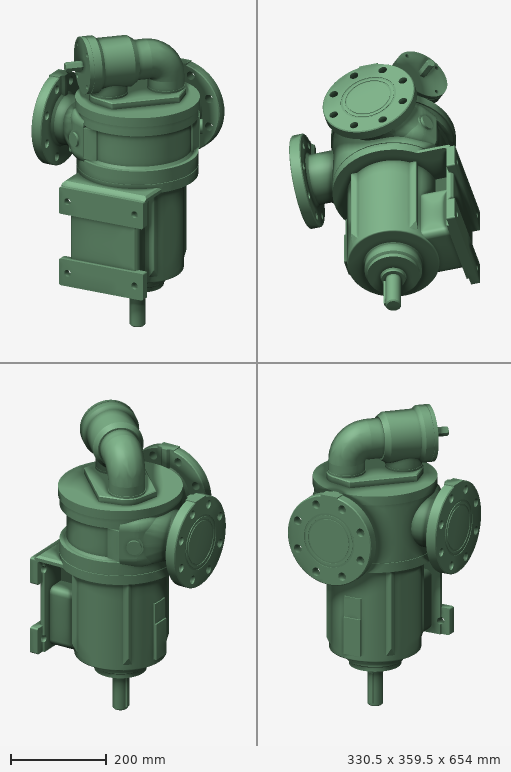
import cadquery as cq
import math


overlap = 6.5
overall_height = 654.0

valve_z = 163.5
cap_radius = 61.0
shaft_end_z = valve_z + cap_radius - overall_height
shaft_radius = 16.5
shaft_chamfer = 2.5
key_width = 10.0
key_reach = 19.5
key_top_z = -354.5
key_bottom_z = -422.0

cover_radius = 131.0
cover_top_z = 82.0
cover_bottom_z = 62.0
rim_radius = 127.5
upper_rim_bottom_z = 40.0
lower_rim_top_z = -38.5
waist_radius = 113.0
waist_fillet = 5.0
rim_joint_z = -67.5
joint_groove_depth = 2.0
joint_groove_width = 2.0
rim_bottom_z = -89.5
barrel_radius = 97.0
barrel_bottom_z = -302.0
barrel_bottom_fillet = 3.0
hub_radius = 60.0
hub_bottom_z = -325.0
hub_fillet = 2.5
hub_chamfer = 3.0
hub_neck_radius = 55.0
hub_neck_bottom_z = -337.5
seal_neck_radius = 22.0
seal_flange_radius = 27.5
seal_flange_top_z = -340.0
seal_bottom_z = -350.0
seal_bevel = 2.5

rib_corner_x = 78.5
rib_corner_y = 71.0
rib_corner_fillet = 2.5
rib_bottom_z = -288.0
rib_runout = 19.5
pad_half_width = 19.5
pad_lower_y = 102.0
pad_upper_y = 99.0
pad_top_z = -160.0
pad_step_z = -206.0
pad_bottom_z = -288.0

port_face = 199.5
flange_diameter = 199.5
flange_radius = flange_diameter / 2
flange_thickness = 24.0
flange_chamfer = 2.0
bolt_circle_radius = 81.0
bolt_hole_radius = 9.0
bolt_count = 8
face_grooves = ((60.0, 55.5), (50.5, 47.0))
face_groove_depth = 1.0
neck_radius = 53.5
neck_fillet = 5.0
bar_reach = 6.0
bar_front_width = 40.5
bar_root_width = 22.0
bar_tip_width = 12.0
chamber_radius = 59.0
chamber_fillet = 27.5
first_bend_x = -129.0
second_bend_x = -68.0
second_bend_y = -45.0
second_bend_z = 4.0
chamber_end_x = -69.0
frame_end_x = -38.0
frame_face_y = -110.0
frame_half_height = 34.0
plug_x = -99.0
plug_y = -101.5
plug_angle = 61.5
plug_radius = 16.0
plug_collar_radius = 20.0
plug_reach = 5.0
plug_depth = 26.0

valve_diagonal = 45
valve_face = 121.0
cap_plate_end = 112.5
cap_end = 94.0
cap_groove_depth = 1.0
cap_groove_width = 1.0
valve_body_start = 86.5
valve_body_radius = 54.0
valve_taper_start = 20.0
valve_body_end = 8.5
valve_nose_radius = 46.5
pipe_radius = 42.5
riser_radius = 38.5
riser_bead = 1.0
riser_bead_height = 4.5
riser_offset = 62.0
bend_radius = 42.5
spindle_flats = 17.5
spindle_length = 37.0
spindle_chamfer = 2.0
cap_hole_pitch = 71.0
cap_hole_radius = 4.9
cap_hole_depth = 8.0
plate_top_z = 96.0
plate_half_width = 62.0
plate_corner = 73.0
plate_tip = 104.0
plate_tip_start = 97.0
plate_tip_half_width = 23.5
plate_edge = 2.0

foot_face_y = -160.0
foot_thickness = 18.0
foot_half_width = 100.0
foot_height = 59.5
foot_corner = 4.0
foot_hole_pitch = 159.5
foot_hole_diameter = 15.0
upper_foot_z = -116.0
backplate_half_width = 80.0
backplate_front_y = -151.0
backplate_back_y = -137.5
backplate_top_z = -88.0
backplate_edge = 5.0
shelf_top_z = -78.0
shelf_slope_y = -140.5
shelf_edge = 4.5
box_half_width = 59.5
box_top_z = -165.0
box_bottom_z = -298.5
box_fillet = 14.5
web_half_width = 16.5


def block(x_range, y_range, z_range):
    """Axis-aligned box from its three (low, high) ranges."""
    low = (x_range[0], y_range[0], z_range[0])
    size = (x_range[1] - x_range[0], y_range[1] - y_range[0], z_range[1] - z_range[0])
    return cq.Workplane("XY").box(*size, centered=False).translate(low)


def turned(profile):
    """Solid of revolution about Z from (radius, z) points, closed along the axis."""
    closed = [(0, profile[0][1])] + profile + [(0, profile[-1][1])]
    return cq.Workplane("XZ").polyline(closed).close().revolve(360, (0, 0), (0, 1))


def turned_along_x(profile):
    """Solid of revolution about X from (x, radius) points, closed along the axis."""
    closed = [(profile[0][0], 0)] + profile + [(profile[-1][0], 0)]
    return cq.Workplane("XY").polyline(closed).close().revolve(360, (0, 0), (1, 0))


def pump_housing():
    """Turned rims, waist and barrel; the quadrant between the ports is filled out to the rims."""
    rims = turned([
        (cover_radius, cover_top_z),
        (cover_radius, cover_bottom_z),
        (rim_radius, cover_bottom_z),
        (rim_radius, upper_rim_bottom_z),
        (waist_radius + waist_fillet, upper_rim_bottom_z),
        (waist_radius, upper_rim_bottom_z - waist_fillet),
        (waist_radius, lower_rim_top_z + waist_fillet),
        (waist_radius + waist_fillet, lower_rim_top_z),
        (rim_radius, lower_rim_top_z),
        (rim_radius, rim_joint_z),
        (rim_radius - joint_groove_depth, rim_joint_z),
        (rim_radius - joint_groove_depth, rim_joint_z - joint_groove_width),
        (rim_radius, rim_joint_z - joint_groove_width),
        (rim_radius, rim_bottom_z),
    ])
    barrel = (
        cq.Workplane("XY", origin=(0, 0, barrel_bottom_z))
        .circle(barrel_radius)
        .extrude(-barrel_bottom_z)
        .faces("<Z").edges().fillet(barrel_bottom_fillet)
    )
    port_quadrant = (
        cq.Workplane("XY", origin=(0, 0, lower_rim_top_z))
        .lineTo(0, rim_radius)
        .radiusArc((-rim_radius, 0), -rim_radius)
        .close()
        .extrude(upper_rim_bottom_z - lower_rim_top_z)
    )
    return rims.union(barrel).union(port_quadrant)


def shaft_end():
    hub = turned([
        (hub_radius + hub_fillet, barrel_bottom_z),
        (hub_radius, barrel_bottom_z - hub_fillet),
        (hub_radius, hub_bottom_z),
        (hub_neck_radius, hub_bottom_z - hub_chamfer),
        (hub_neck_radius, hub_neck_bottom_z),
        (seal_neck_radius, hub_neck_bottom_z),
        (seal_neck_radius, seal_flange_top_z),
        (seal_flange_radius, seal_flange_top_z - seal_bevel),
        (seal_flange_radius - seal_bevel, seal_flange_top_z - 2 * seal_bevel),
        (seal_flange_radius - seal_bevel, seal_bottom_z),
        (shaft_radius, seal_bottom_z),
        (shaft_radius, shaft_end_z + shaft_chamfer),
        (shaft_radius - shaft_chamfer, shaft_end_z),
    ])
    key = block((-key_width / 2, key_width / 2), (0, key_reach), (key_bottom_z, key_top_z))
    return hub.union(key)


def barrel_ribs():
    """Four square corners standing out of the barrel, run out conically at the bottom."""
    corners = block(
        (-rib_corner_x, rib_corner_x),
        (-rib_corner_y, rib_corner_y),
        (rib_bottom_z, rim_bottom_z + overlap),
    ).edges("|Z").fillet(rib_corner_fillet)
    corner_radius = math.hypot(rib_corner_x, rib_corner_y)
    envelope = turned([
        (corner_radius, rim_bottom_z + overlap),
        (corner_radius, rib_bottom_z + rib_runout),
        (barrel_radius, rib_bottom_z),
    ])
    return corners.intersect(envelope)


def rear_pad():
    width = (-pad_half_width, pad_half_width)
    lower = block(width, (0, pad_lower_y), (pad_bottom_z, pad_step_z))
    upper = block(width, (0, pad_upper_y), (pad_step_z, pad_top_z))
    return lower.union(upper)


def port_flange():
    back = flange_thickness - port_face
    flange = (
        cq.Workplane("YZ", origin=(-port_face, 0, 0))
        .circle(flange_radius)
        .extrude(flange_thickness)
        .edges().chamfer(flange_chamfer)
    )
    bar = (
        cq.Workplane("XY")
        .polyline([
            (-port_face, bar_front_width / 2),
            (back, bar_front_width / 2),
            (back, bar_root_width / 2),
            (back + bar_reach, bar_tip_width / 2),
            (back + bar_reach, -bar_tip_width / 2),
            (back, -bar_root_width / 2),
            (back, -bar_front_width / 2),
            (-port_face, -bar_front_width / 2),
        ])
        .close()
        .extrude(flange_radius)
    )
    return flange.union(bar)


def port_neck():
    back = flange_thickness - port_face
    return turned_along_x([
        (back, neck_radius + neck_fillet),
        (back + neck_fillet, neck_radius),
        (-waist_radius / 2, neck_radius),
    ])


def port_chamber():
    """Flow passage that leaves the neck and turns in two bends round the waist.

    Its section swells from the round of the neck to a square with rounded corners.
    """
    first_bend = cq.Vector(first_bend_x, 0, 0)
    second_bend = cq.Vector(second_bend_x, second_bend_y, second_bend_z)
    wall_angle = math.radians(plug_angle - 90)
    along_wall = cq.Vector(math.cos(wall_angle), math.sin(wall_angle), 0)
    run = second_bend - first_bend
    square = cq.Sketch().rect(2 * chamber_radius, 2 * chamber_radius).vertices().fillet(chamber_fillet)
    round_section = cq.Sketch().circle(neck_radius)
    swelling = (
        cq.Workplane(cq.Plane(origin=first_bend, xDir=(0, 0, 1), normal=run))
        .placeSketch(round_section, square.moved(cq.Location(cq.Vector(0, 0, run.Length))))
        .loft()
    )
    first_elbow = cq.Workplane("XY").sphere(neck_radius).translate(first_bend)
    second_elbow = (
        cq.Workplane("XY")
        .circle(chamber_radius)
        .extrude(chamber_radius, both=True)
        .edges().fillet(chamber_fillet)
        .translate(second_bend)
    )
    straight = (
        cq.Workplane(cq.Plane(origin=second_bend, xDir=(0, 0, 1), normal=along_wall))
        .placeSketch(square)
        .extrude(chamber_radius)
    )
    side = block(
        (-port_face, chamber_end_x),
        (-cover_radius, cover_radius),
        (rim_bottom_z, cover_bottom_z),
    )
    frame = block(
        (chamber_end_x, frame_end_x),
        (frame_face_y, 0),
        (-frame_half_height, frame_half_height),
    )
    return first_elbow.union(swelling).union(second_elbow).union(straight).intersect(side).union(frame)


def chamber_plug():
    direction = math.radians(180 + plug_angle)
    outward = (math.cos(direction), math.sin(direction), 0)
    face = cq.Plane(origin=(plug_x, plug_y, 0), xDir=(0, 0, 1), normal=outward)
    head = cq.Workplane(face).circle(plug_radius).extrude(-plug_depth)
    collar = cq.Workplane(face).workplane(offset=-plug_reach).circle(plug_collar_radius).extrude(-plug_depth)
    return head.union(collar)


def port():
    body = port_flange().union(port_neck()).union(port_chamber()).union(chamber_plug())
    face = cq.Workplane("YZ", origin=(-port_face, 0, 0))
    bolt_holes = (
        face.polarArray(bolt_circle_radius, 180 / bolt_count, 360, bolt_count)
        .circle(bolt_hole_radius)
        .extrude(flange_thickness + bar_reach)
    )
    body = body.cut(bolt_holes)
    for outer, inner in face_grooves:
        body = body.cut(face.circle(outer).circle(inner).extrude(face_groove_depth))
    return body


def valve_plate():
    plate = (
        cq.Workplane("XY", origin=(0, 0, cover_top_z - overlap))
        .moveTo(-plate_corner, plate_half_width)
        .lineTo(plate_corner, plate_half_width)
        .lineTo(plate_tip_start, plate_tip_half_width)
        .threePointArc((plate_tip, 0), (plate_tip_start, -plate_tip_half_width))
        .lineTo(plate_corner, -plate_half_width)
        .lineTo(-plate_corner, -plate_half_width)
        .lineTo(-plate_tip_start, -plate_tip_half_width)
        .threePointArc((-plate_tip, 0), (-plate_tip_start, plate_tip_half_width))
        .close()
        .extrude(plate_top_z - cover_top_z + overlap)
    )
    return plate.faces(">Z").edges().chamfer(plate_edge)


def valve_barrel():
    return turned_along_x([
        (-valve_face, cap_radius),
        (-cap_plate_end, cap_radius),
        (-cap_plate_end, cap_radius - cap_groove_depth),
        (-cap_plate_end + cap_groove_width, cap_radius - cap_groove_depth),
        (-cap_plate_end + cap_groove_width, cap_radius),
        (-cap_end, cap_radius),
        (-valve_body_start, valve_body_radius),
        (-valve_taper_start, valve_body_radius),
        (-valve_body_end, valve_nose_radius),
    ]).translate((0, 0, valve_z))


def valve_pipes():
    bend_start = riser_offset - bend_radius
    bend_end_z = valve_z - bend_radius
    run = turned_along_x([(-valve_body_start / 2, pipe_radius), (bend_start, pipe_radius)])
    bend_path = (
        cq.Workplane("XZ")
        .moveTo(bend_start, valve_z)
        .radiusArc((riser_offset, bend_end_z), bend_radius)
    )
    bend = (
        cq.Workplane("YZ", origin=(bend_start, 0, valve_z))
        .circle(pipe_radius)
        .transformed(rotate=(90, 0, 0), offset=(0, -bend_radius, bend_radius))
        .circle(riser_radius)
        .sweep(bend_path, multisection=True)
    )
    pipes = run.translate((0, 0, valve_z)).union(bend)
    for x, top in ((riser_offset, bend_end_z), (-riser_offset, valve_z)):
        base = cq.Workplane("XY", origin=(x, 0, cover_top_z))
        bead_height = plate_top_z + riser_bead_height - cover_top_z
        pipes = pipes.union(base.circle(riser_radius).extrude(top - cover_top_z))
        pipes = pipes.union(base.circle(riser_radius + riser_bead).extrude(bead_height))
    return pipes


def relief_valve():
    """Valve built along X with its cap on -X, then turned onto the diagonal."""
    face = cq.Workplane("YZ", origin=(-valve_face, 0, valve_z))
    spindle_corners = spindle_flats / math.cos(math.radians(30))
    spindle = face.polygon(6, spindle_corners).extrude(-spindle_length)
    spindle_round = turned_along_x([
        (-valve_face - spindle_length, spindle_flats / 2),
        (-valve_face - spindle_length + spindle_chamfer, spindle_corners / 2),
        (-valve_face, spindle_corners / 2),
    ]).translate((0, 0, valve_z))
    cap_holes = (
        face.rect(cap_hole_pitch, cap_hole_pitch, forConstruction=True)
        .vertices()
        .circle(cap_hole_radius)
        .extrude(cap_hole_depth)
    )
    valve = valve_plate().union(valve_pipes()).union(valve_barrel()).cut(cap_holes)
    valve = valve.union(spindle.intersect(spindle_round))
    return valve.rotate((0, 0, 0), (0, 0, 1), valve_diagonal)


def foot_bar(centre_z):
    return block(
        (-foot_half_width, foot_half_width),
        (foot_face_y, foot_face_y + foot_thickness),
        (centre_z - foot_height / 2, centre_z + foot_height / 2),
    ).edges("|Y").fillet(foot_corner)


def foot():
    lower_foot_z = upper_foot_z - foot_hole_pitch
    foot_back_y = foot_face_y + foot_thickness
    foot_top_z = upper_foot_z + foot_height / 2
    backplate = block(
        (-backplate_half_width, backplate_half_width),
        (backplate_front_y, backplate_back_y),
        (lower_foot_z - foot_height / 2, backplate_top_z),
    ).faces("<Y").edges("|Z").chamfer(backplate_edge)
    shelf = (
        cq.Workplane("YZ", origin=(-foot_half_width, 0, 0))
        .moveTo(0, shelf_top_z)
        .lineTo(shelf_slope_y, shelf_top_z)
        .lineTo(backplate_front_y, foot_top_z)
        .lineTo(foot_back_y, foot_top_z - overlap)
        .lineTo(backplate_back_y, rim_bottom_z)
        .lineTo(0, rim_bottom_z)
        .close()
        .extrude(2 * foot_half_width)
        .faces(">Z").edges("|Y").chamfer(shelf_edge)
    )
    box = block(
        (-box_half_width, box_half_width), (backplate_back_y - overlap, 0), (box_bottom_z, box_top_z)
    ).edges("|Y").fillet(box_fillet)
    web = block(
        (-web_half_width, web_half_width), (backplate_back_y - overlap, 0), (box_bottom_z, rim_bottom_z)
    )
    body = backplate.union(shelf).union(box).union(web)
    for centre_z in (upper_foot_z, lower_foot_z):
        body = body.union(foot_bar(centre_z))
    bolt_holes = (
        cq.Workplane("XZ", origin=(0, foot_face_y, (upper_foot_z + lower_foot_z) / 2))
        .rect(foot_hole_pitch, foot_hole_pitch, forConstruction=True)
        .vertices()
        .circle(foot_hole_diameter / 2)
        .extrude(foot_face_y - backplate_back_y)
    )
    return body.cut(bolt_holes)


suction_port = port()
discharge_port = suction_port.mirror((1, 1, 0))

result = (
    pump_housing()
    .union(shaft_end())
    .union(barrel_ribs())
    .union(rear_pad())
    .union(foot())
    .union(suction_port)
    .union(discharge_port)
    .union(relief_valve())
)